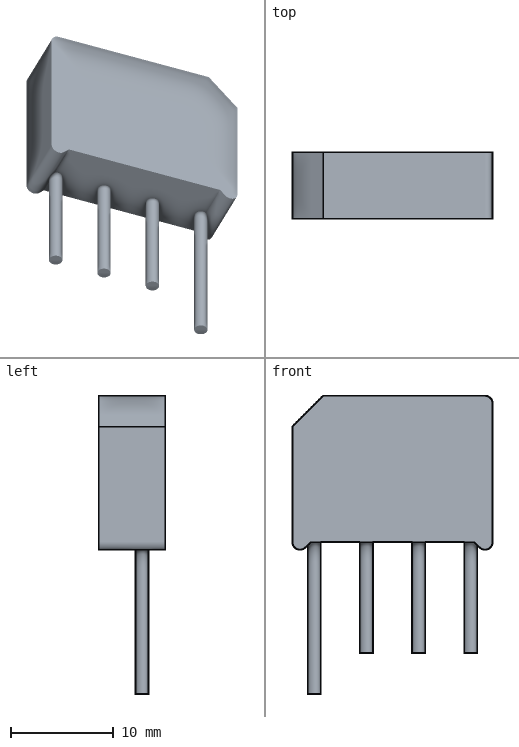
import cadquery as cq
import math

body_length = 19.5
body_width = 6.5
body_height = 15.0
corner_chamfer = 3.0
corner_radius = 0.75
foot_height = 0.75

lead_diameter = 1.3
lead_count = 4
lead_pitch = 5.08
lead_offset_y = -0.975
overall_height = 29.05
long_lead_extra = 4.0
long_lead_length = overall_height - (body_height - foot_height)
short_lead_length = long_lead_length - long_lead_extra
lead_embed = 1.0

half_length = body_length / 2
top_z = body_height - foot_height
foot_z = -foot_height


def make_body():
    """Extrude the body profile, which lies in the XZ plane, across the width."""
    diagonal = corner_radius * math.sin(math.radians(45))
    foot_centre_x = half_length - corner_radius
    foot_centre_z = foot_z + corner_radius
    flank_x = foot_centre_x - diagonal
    flank_z = foot_centre_z - diagonal
    base_x = flank_x + flank_z
    arc_centre_z = top_z - corner_radius

    profile = (
        cq.Workplane("XZ", origin=(0, body_width / 2, 0))
        .moveTo(-half_length, foot_centre_z)
        .lineTo(-half_length, top_z - corner_chamfer)
        .lineTo(-half_length + corner_chamfer, top_z)
        .lineTo(foot_centre_x, top_z)
        .threePointArc(
            (foot_centre_x + diagonal, arc_centre_z + diagonal),
            (half_length, arc_centre_z),
        )
        .lineTo(half_length, foot_centre_z)
        .threePointArc((foot_centre_x, foot_z), (flank_x, flank_z))
        .lineTo(base_x, 0)
        .lineTo(-base_x, 0)
        .lineTo(-flank_x, flank_z)
        .threePointArc((-foot_centre_x, foot_z), (-half_length, foot_centre_z))
        .close()
    )
    return profile.extrude(body_width)


def make_lead(x, length):
    """Round lead hanging down from the base, rooted inside the body."""
    return (
        cq.Workplane("XY", origin=(x, lead_offset_y, -length))
        .circle(lead_diameter / 2)
        .extrude(length + lead_embed)
    )


result = make_body()
first_lead_x = -lead_pitch * (lead_count - 1) / 2
for index in range(lead_count):
    lead_length = long_lead_length if index == 0 else short_lead_length
    result = result.union(make_lead(first_lead_x + index * lead_pitch, lead_length))